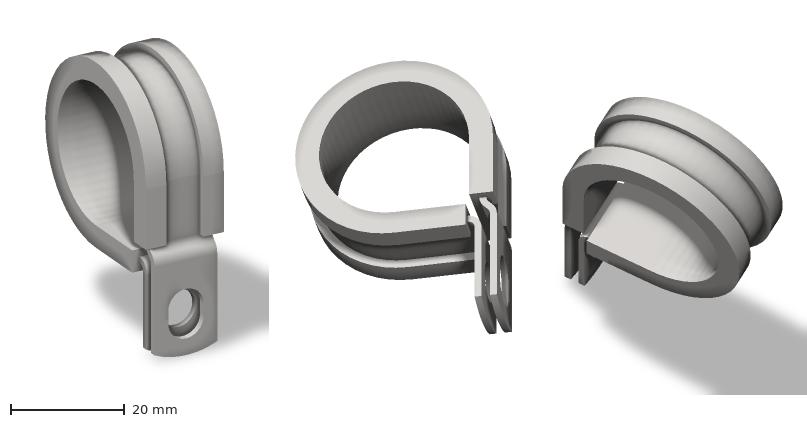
import cadquery as cq
import math


outer_radius = 17.75
cushion_thickness = 4.3
cushion_width = 15.75
side_arm_length = 11.55
bottom_arm_length = 12.85
groove_depth = 1.55
groove_width = 7.5

strap_thickness = 1.2
strap_width = 12.7
bend_inner_radius = 1.3
jog_angle = 45.0
tab_right = 18.1
tab_spacing = 2.75
tab_bottom = -33.25
tab_tip_rise = 1.35
hole_diameter = 7.15
slot_length = 9.5
hole_height = 7.95

strap_radius = outer_radius - groove_depth
bend_outer_radius = bend_inner_radius + strap_thickness
bend_mid_radius = bend_inner_radius + strap_thickness / 2
max_extent = 102.05


def loop(radius, thickness, width):
    """Three-quarter ring with a straight arm at each end, centred on Y."""
    inner = radius - thickness
    diagonal = math.sqrt(0.5)
    return (
        cq.Workplane("XZ")
        .moveTo(radius, -side_arm_length)
        .lineTo(radius, 0)
        .threePointArc((-radius * diagonal, radius * diagonal), (0, -radius))
        .lineTo(bottom_arm_length, -radius)
        .lineTo(bottom_arm_length, -inner)
        .lineTo(0, -inner)
        .threePointArc((-inner * diagonal, inner * diagonal), (inner, 0))
        .lineTo(inner, -side_arm_length)
        .close()
        .extrude(width / 2, both=True)
    )


def grooved_cushion():
    """Cushion with a shallow channel around the middle of its outer face."""
    cushion = loop(outer_radius, cushion_thickness, cushion_width)
    channel = loop(outer_radius, groove_depth, groove_width)
    return cushion.cut(channel)


def bent_tab():
    """Left tab: a quarter bend from the bottom arm into a vertical strip."""
    outer_x = tab_right - tab_spacing
    inner_x = outer_x - strap_thickness
    bend_x = outer_x - bend_outer_radius
    bend_z = -strap_radius - bend_inner_radius

    def bend(radius, turn):
        return (bend_x + radius * math.sin(turn), bend_z + radius * math.cos(turn))

    quarter = math.pi / 2
    return (
        cq.Workplane("XZ")
        .moveTo(*bend(bend_outer_radius, 0))
        .threePointArc(bend(bend_outer_radius, quarter / 2), bend(bend_outer_radius, quarter))
        .lineTo(outer_x, tab_bottom)
        .lineTo(inner_x, tab_bottom)
        .lineTo(*bend(bend_inner_radius, quarter))
        .threePointArc(bend(bend_inner_radius, quarter / 2), bend(bend_inner_radius, 0))
        .close()
        .extrude(strap_width / 2, both=True)
    )


def jogged_tab():
    """Right tab: two opposite bends step the strip outward from the side arm."""
    angle = math.radians(jog_angle)
    offset = tab_right - strap_radius
    bends_offset = 2 * bend_mid_radius * (1 - math.cos(angle))
    slope_length = (offset - bends_offset) / math.sin(angle)
    drop = 2 * bend_mid_radius * math.sin(angle) + slope_length * math.cos(angle)
    jog_bottom = -side_arm_length - drop

    upper_x = strap_radius + bend_inner_radius
    lower_x = tab_right - bend_outer_radius

    def upper(radius, turn):
        return (upper_x - radius * math.cos(turn), -side_arm_length - radius * math.sin(turn))

    def lower(radius, turn):
        return (lower_x + radius * math.cos(turn), jog_bottom + radius * math.sin(turn))

    return (
        cq.Workplane("XZ")
        .moveTo(*upper(bend_inner_radius, 0))
        .threePointArc(upper(bend_inner_radius, angle / 2), upper(bend_inner_radius, angle))
        .lineTo(*lower(bend_outer_radius, angle))
        .threePointArc(lower(bend_outer_radius, angle / 2), lower(bend_outer_radius, 0))
        .lineTo(tab_right, tab_bottom)
        .lineTo(tab_right - strap_thickness, tab_bottom)
        .lineTo(*lower(bend_inner_radius, 0))
        .threePointArc(lower(bend_inner_radius, angle / 2), lower(bend_inner_radius, angle))
        .lineTo(*upper(bend_outer_radius, angle))
        .threePointArc(upper(bend_outer_radius, angle / 2), upper(bend_outer_radius, 0))
        .close()
        .extrude(strap_width / 2, both=True)
    )


def tab_outline():
    """Rounded-end tab silhouette, running along X."""
    half_width = strap_width / 2
    corner_z = tab_bottom + tab_tip_rise
    return (
        cq.Workplane("YZ")
        .moveTo(-half_width, 0)
        .lineTo(-half_width, corner_z)
        .threePointArc((0, tab_bottom), (half_width, corner_z))
        .lineTo(half_width, 0)
        .close()
        .extrude(max_extent)
    )


def opening_plane():
    """Workplane centred on the tab openings, facing along X."""
    return cq.Workplane("YZ").center(0, tab_bottom + hole_height)


hole = opening_plane().circle(hole_diameter / 2).extrude(max_extent)
slot = opening_plane().slot2D(slot_length, hole_diameter, 90).extrude(max_extent)
left_tab = bent_tab().intersect(tab_outline()).cut(hole)
right_tab = jogged_tab().intersect(tab_outline()).cut(slot)
result = grooved_cushion().union(left_tab).union(right_tab)